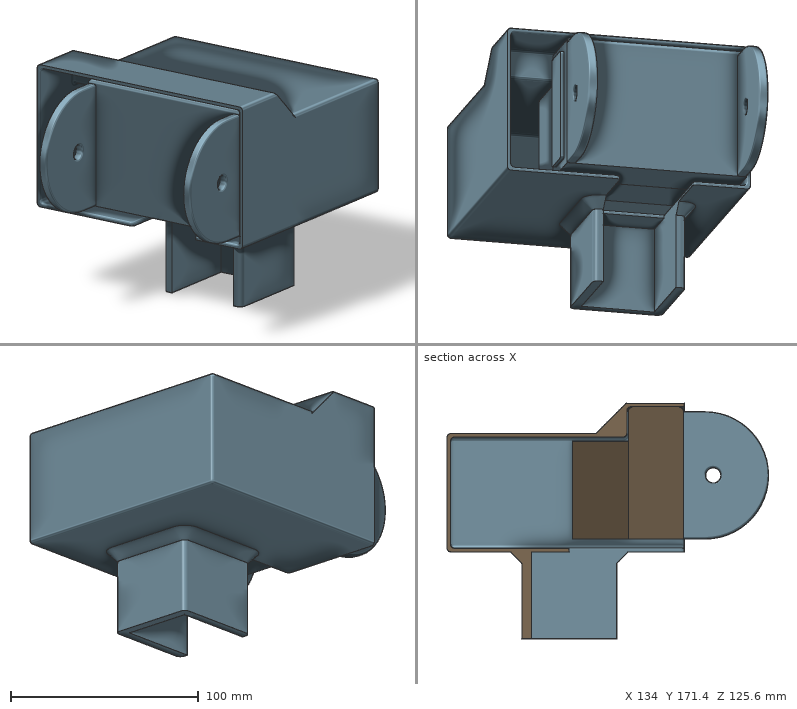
import cadquery as cq

HOUSING_WIDTH = 134.0
HOUSING_LENGTH = 126.5
HOUSING_HEIGHT = 79.3
ROOF_DROP = 16.1
ROOF_FRONT_LENGTH = 30.8
WALL = 2.0
EDGE_RADIUS = 2.0
RIM_RADIUS = 1.0
STEP_WALL_Y = 30.5

POST_SIDE = 50.7
POST_LENGTH = 46.3
POST_WALL = 5.3
POST_CORNER_RADIUS = 3.0
POST_CENTER_X = 15.5
POST_FRONT_Y = 36.0
FLARE = 6.0
SLOT_WIDTH = POST_SIDE - 2 * POST_WALL

BLOCK_WIDTH = 98.8
BLOCK_FRONT_Y = 0.3
BLOCK_BACK_Y = 30.0
BLOCK_BOTTOM_Z = 6.9
BLOCK_TOP_RADIUS = 2.5
EAR_THICKNESS = 5.0
EAR_REACH = 44.9
EAR_HOLE_Y = -15.5
EAR_HOLE_DIAMETER = 8.0
EAR_EDGE_RADIUS = 1.0

PLATE_THICKNESS = 2.0
PLATE_HEIGHT = 59.8
PLATE_BOTTOM_Z = 11.3
PLATE_FRONT_Y = 6.7
PLATE_BACK_Y = 24.5
PLATE_CORNER_RADIUS = 1.5

INNER_RIGHT_X = HOUSING_WIDTH / 2 - WALL
INNER_BACK_Y = HOUSING_LENGTH - WALL
CEILING_Z = HOUSING_HEIGHT - WALL
LOW_ROOF_Z = HOUSING_HEIGHT - ROOF_DROP
LOW_CEILING_Z = LOW_ROOF_Z - WALL
BLOCK_LEFT_X = INNER_RIGHT_X - BLOCK_WIDTH
POST_CENTER_Y = POST_FRONT_Y + POST_SIDE / 2
CHANNEL_BACK_Y = POST_FRONT_Y + POST_SIDE - POST_WALL
SLOT_LEFT_X = POST_CENTER_X - SLOT_WIDTH / 2
SLOT_RIGHT_X = POST_CENTER_X + SLOT_WIDTH / 2
EAR_TOP_Z = CEILING_Z - BLOCK_TOP_RADIUS
EAR_RADIUS = (EAR_TOP_Z - BLOCK_BOTTOM_Z) / 2
EAR_CENTER_Z = BLOCK_BOTTOM_Z + EAR_RADIUS
EAR_CENTER_Y = EAR_RADIUS - EAR_REACH


def box(x_range, y_range, z_range):
    """Axis-aligned box between the given limits."""
    limits = (x_range, y_range, z_range)
    size = [high - low for low, high in limits]
    return cq.Workplane("XY").box(*size, centered=False).translate([low for low, high in limits])


def side_profile(points, x_start, length):
    """Prism along X over an outline of (Y, Z) points."""
    return cq.Workplane("YZ", origin=(x_start, 0, 0)).polyline(points).close().extrude(length)


def outer_shell():
    """Outside of the housing, with a 45 degree slope between its high and low roofs."""
    points = [
        (0, 0),
        (HOUSING_LENGTH, 0),
        (HOUSING_LENGTH, LOW_ROOF_Z),
        (ROOF_FRONT_LENGTH + ROOF_DROP, LOW_ROOF_Z),
        (ROOF_FRONT_LENGTH, HOUSING_HEIGHT),
        (0, HOUSING_HEIGHT),
    ]
    prism = side_profile(points, -HOUSING_WIDTH / 2, HOUSING_WIDTH)
    return prism.edges("|Y or >Y").fillet(EDGE_RADIUS)


def cavity():
    """Room inside the housing, with a vertical step between its high and low ceilings."""
    points = [
        (0, WALL),
        (INNER_BACK_Y, WALL),
        (INNER_BACK_Y, LOW_CEILING_Z),
        (STEP_WALL_Y, LOW_CEILING_Z),
        (STEP_WALL_Y, CEILING_Z),
        (0, CEILING_Z),
    ]
    room = side_profile(points, -INNER_RIGHT_X, 2 * INNER_RIGHT_X)
    return room.edges("not <Y").fillet(EDGE_RADIUS)


def post():
    """Square post with a 45 degree flare under the housing floor."""
    column = (
        cq.Workplane("XY", origin=(POST_CENTER_X, POST_CENTER_Y, -POST_LENGTH))
        .rect(POST_SIDE, POST_SIDE)
        .extrude(POST_LENGTH)
        .edges("|Z")
        .fillet(POST_CORNER_RADIUS)
    )
    flare = (
        cq.Workplane("XY", origin=(POST_CENTER_X, POST_CENTER_Y, -FLARE))
        .placeSketch(cq.Sketch().rect(POST_SIDE, POST_SIDE).vertices().fillet(POST_CORNER_RADIUS))
        .extrude(FLARE, taper=-45)
    )
    return column.union(flare)


def post_channel():
    """Space inside the post, open to the front and to the bottom."""
    return box((SLOT_LEFT_X, SLOT_RIGHT_X), (0, CHANNEL_BACK_Y), (-POST_LENGTH, 0))


def floor_notch():
    """Notch in the housing floor from the front rim to above the middle of the post."""
    return box((SLOT_LEFT_X, SLOT_RIGHT_X), (0, POST_CENTER_Y), (0, WALL))


def edge_near(x, y, z):
    """Selector of the edge whose middle is nearest to a point."""
    return cq.selectors.NearestToPointSelector((x, y, z))


def rounded_rim(shell):
    """Round the front corners of the notch, then the inner edge of the rim and of the notch."""
    notch_corners = edge_near(SLOT_LEFT_X, 0, WALL / 2) + edge_near(SLOT_RIGHT_X, 0, WALL / 2)
    shell = shell.edges(notch_corners).fillet(EDGE_RADIUS)
    inner_edges = edge_near(0, 0, CEILING_Z) + edge_near(POST_CENTER_X, POST_CENTER_Y, WALL)
    return shell.edges(inner_edges).fillet(RIM_RADIUS)


def make_housing():
    """Shell and post as one solid, open from the floor notch down through the post."""
    shell = rounded_rim(outer_shell().cut(cavity()).cut(floor_notch()))
    return shell.union(post()).cut(post_channel())


def make_front_block():
    """Block rounded along its top and where it faces the rounded corners of the step wall."""
    block = box(
        (BLOCK_LEFT_X, INNER_RIGHT_X),
        (BLOCK_FRONT_Y, BLOCK_BACK_Y),
        (BLOCK_BOTTOM_Z, CEILING_Z),
    )
    return block.edges(">Z or (|Z and >X and >Y)").fillet(BLOCK_TOP_RADIUS)


def make_rear_block():
    """Block as deep as the front one, kept clear of the rounded corners under the low ceiling."""
    depth = BLOCK_BACK_Y - BLOCK_FRONT_Y
    return box(
        (BLOCK_LEFT_X, INNER_RIGHT_X - EDGE_RADIUS),
        (BLOCK_BACK_Y, BLOCK_BACK_Y + depth),
        (BLOCK_BOTTOM_Z, LOW_CEILING_Z - EDGE_RADIUS),
    )


def make_ear(left_x):
    """Round-ended ear with a cross hole, standing on the front face of the front block."""
    ear = (
        cq.Workplane("YZ", origin=(left_x, 0, 0))
        .moveTo(BLOCK_FRONT_Y, BLOCK_BOTTOM_Z)
        .lineTo(EAR_CENTER_Y, BLOCK_BOTTOM_Z)
        .threePointArc((-EAR_REACH, EAR_CENTER_Z), (EAR_CENTER_Y, EAR_TOP_Z))
        .lineTo(BLOCK_FRONT_Y, EAR_TOP_Z)
        .close()
        .extrude(EAR_THICKNESS)
    )
    hole = (
        cq.Workplane("YZ", origin=(left_x, EAR_HOLE_Y, EAR_CENTER_Z))
        .circle(EAR_HOLE_DIAMETER / 2)
        .extrude(EAR_THICKNESS)
    )
    ear = ear.cut(hole)
    return ear.faces("<X or >X").edges("not >Y").fillet(EAR_EDGE_RADIUS)


def make_side_plate():
    """Flat plate with rounded corners."""
    plate = box(
        (BLOCK_LEFT_X - PLATE_THICKNESS, BLOCK_LEFT_X),
        (PLATE_FRONT_Y, PLATE_BACK_Y),
        (PLATE_BOTTOM_Z, PLATE_BOTTOM_Z + PLATE_HEIGHT),
    )
    return plate.edges("|X").fillet(PLATE_CORNER_RADIUS)


housing = make_housing()
front_block = make_front_block()
rear_block = make_rear_block()
ears = [make_ear(left_x) for left_x in (BLOCK_LEFT_X, INNER_RIGHT_X - EAR_THICKNESS)]
side_plate = make_side_plate()

bodies = [housing, front_block, rear_block, *ears, side_plate]
result = cq.Compound.makeCompound([body.val() for body in bodies])